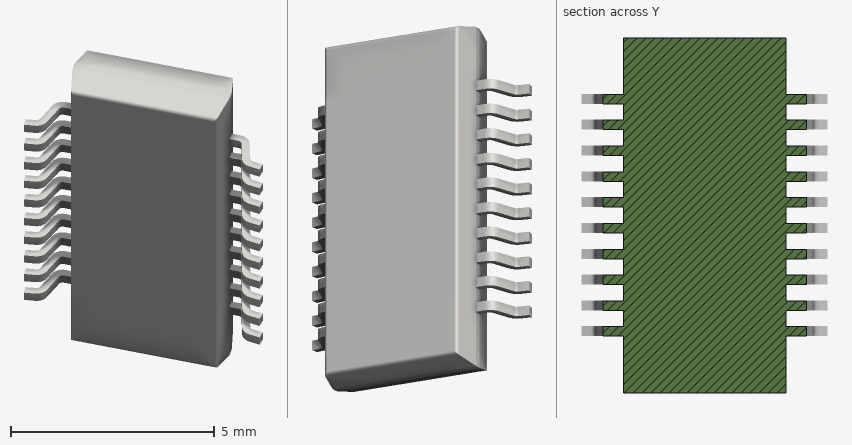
import cadquery as cq
import math

body_length = 8.74
body_width = 4.0
band_thickness = 0.2
draft_depth = 0.7
draft_angle = 12.0
face_edge_radius = 0.1

leads_per_side = 10
lead_pitch = 0.6345
lead_width = 0.245
lead_thickness = band_thickness
lead_span = 6.06
standoff = 0.15
bend_inner_radius = 0.1
bend_radius = bend_inner_radius + lead_thickness / 2
leg_angle = math.radians(73.0)
foot_angle = math.radians(8.0)
foot_length = 0.27


def drafted_half(side):
    """Tapered half of the body; side is +1 for the +Y half, -1 for the -Y half."""
    plane = cq.Plane(
        origin=(0, side * band_thickness / 2, 0), xDir=(1, 0, 0), normal=(0, side, 0)
    )
    half = cq.Workplane(plane).rect(body_width, body_length).extrude(draft_depth, taper=draft_angle)
    outer_face = ">Y" if side > 0 else "<Y"
    return half.faces(outer_face).edges().fillet(face_edge_radius)


def make_body():
    band = cq.Workplane("XY").box(body_width, band_thickness, body_length)
    return band.union(drafted_half(1)).union(drafted_half(-1))


def make_lead():
    """One lead on the +X side at Z = 0, swept along its mid-thickness line."""
    mounting_face_y = -band_thickness / 2 - draft_depth
    tip_x = lead_span / 2 - lead_thickness / 2 * math.sin(foot_angle)
    tip_y = mounting_face_y - standoff + lead_thickness / 2 * math.cos(foot_angle)

    foot_x = tip_x - foot_length * math.cos(foot_angle)
    foot_y = tip_y + foot_length * math.sin(foot_angle)
    lower_centre = (
        foot_x + bend_radius * math.sin(foot_angle),
        foot_y + bend_radius * math.cos(foot_angle),
    )

    def lower_bend(angle):
        return (
            lower_centre[0] - bend_radius * math.sin(angle),
            lower_centre[1] - bend_radius * math.cos(angle),
        )

    leg_bottom = lower_bend(leg_angle)
    leg_top_y = bend_radius * (math.cos(leg_angle) - 1)
    leg_top_x = leg_bottom[0] - (leg_top_y - leg_bottom[1]) / math.tan(leg_angle)
    shoulder_x = leg_top_x - bend_radius * math.sin(leg_angle)

    def upper_bend(angle):
        return (
            shoulder_x + bend_radius * math.sin(angle),
            bend_radius * (math.cos(angle) - 1),
        )

    path = (
        cq.Workplane("XY")
        .moveTo(body_width / 2, 0)
        .lineTo(shoulder_x, 0)
        .threePointArc(upper_bend(leg_angle / 2), upper_bend(leg_angle))
        .lineTo(*leg_bottom)
        .threePointArc(lower_bend((leg_angle + foot_angle) / 2), (foot_x, foot_y))
        .lineTo(tip_x, tip_y)
    )
    section = cq.Workplane("YZ", origin=(body_width / 2, 0, 0)).rect(lead_thickness, lead_width)
    return section.sweep(path)


right_lead = make_lead()
left_lead = right_lead.mirror("YZ")

result = make_body()
for index in range(leads_per_side):
    lead_z = (index - (leads_per_side - 1) / 2) * lead_pitch
    for lead in (left_lead, right_lead):
        result = result.union(lead.translate((0, 0, lead_z)))